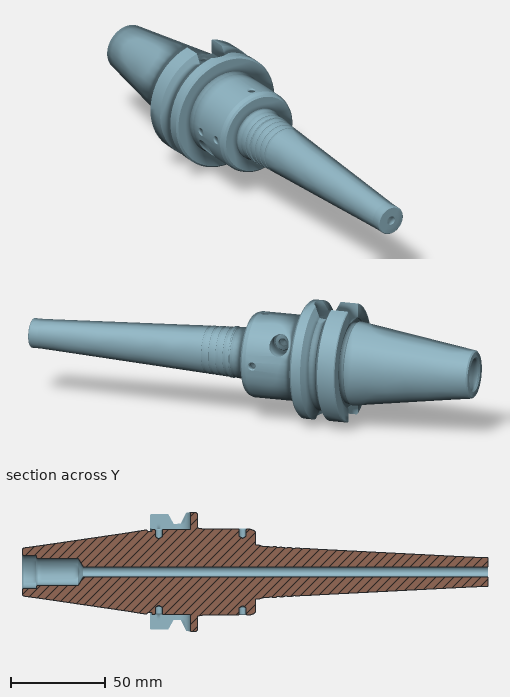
import cadquery as cq
import math

total_length = 245.5
gauge_x = 65.3
gauge_radius = 22.3
taper_ratio = 7 / 24
taper_edge_chamfer = 0.7

undercut_radius = 21.5
undercut_start = 66.0
face_recess_radius = 24.0
face_recess_depth = 0.7
flange_start = 67.5
flange_end = 92.5
flange_radius = 63.0 / 2
front_chamfer = 0.5
rear_chamfer = 1.0
grip_center = 81.7
grip_floor_width = 3.7
grip_floor_radius = 26.5
grip_half_angle = 30.0

slot_width = 16.0
slot_floor = 22.5
slot_end = 88.5
slot_hole_x = 72.0

shoulder_end = 95.2
shoulder_radius = 23.3
body_radius = 22.8
body_end = 123.0
body_bevel_length = 3.2
body_bevel_mid = 1.0
body_bevel_mid_drop = 0.7
body_bevel_drop = 1.7

root_radius = 14.5
root_end = 124.2
neck_start = 126.5
neck_radius = 13.7
tip_radius = 7.9
tip_length = 5.5
tip_start = total_length - tip_length
tip_chamfer = 0.5

ring_first_x = 130.8
ring_last_x = 147.0
ring_count = 5
ring_width = 1.5
ring_depth = 0.2
rib_start = 132.3
rib_end = 133.7
rib_height = 0.2

mouth_radius = 18.5 / 2
pilot_radius = 17.0 / 2
pilot_depth = 7.4
thread_radius = 14.0 / 2
thread_chamfer = 0.7
thread_depth = 29.5
through_radius = 2.5
drill_half_angle = 59.0

thread_mouth_diameter = 4.7
thread_hole_diameter = 3.5
thread_hole_depth = 4.0
body_hole_x = 116.0
side_hole_x = 102.0
side_hole_z = -1.0

screw_hole_diameter = 10.5
screw_hole_floor_y = 12.3
screw_z = 11.8
head_diameter = 9.0
head_top_diameter = 8.0
head_height = 1.0
socket_diameter = 4.7
socket_depth = 2.5


def revolve_profile(points):
    """Revolve an (x, radius) outline around the X axis."""
    return cq.Workplane("XY").polyline(points).close().revolve(360, (0, 0, 0), (1, 0, 0))


def neck_radius_at(x):
    """Radius of the neck cone at a given place along the axis."""
    return neck_radius + (tip_radius - neck_radius) * (x - neck_start) / (tip_start - neck_start)


def blind_hole(origin, direction, diameter, depth):
    """Drilled hole with a conical bottom; depth is the cylindrical length."""
    radius = diameter / 2
    start = cq.Vector(*origin)
    axis = cq.Vector(*direction)
    cylinder = cq.Solid.makeCylinder(radius, depth, start, axis)
    cone_length = radius / math.tan(math.radians(drill_half_angle))
    cone = cq.Solid.makeCone(radius, 0, cone_length, start + axis * depth, axis)
    return cq.Workplane(cylinder).union(cq.Workplane(cone))


def threaded_hole(origin, direction):
    """Small blind hole with a 45 degree countersunk mouth."""
    mouth = thread_mouth_diameter / 2
    bore = thread_hole_diameter / 2
    countersink = cq.Solid.makeCone(mouth, bore, mouth - bore, cq.Vector(*origin), cq.Vector(*direction))
    drilled = blind_hole(origin, direction, thread_hole_diameter, thread_hole_depth)
    return drilled.union(cq.Workplane(countersink))


def screw_recess(side):
    """Hole parallel to Y holding a chamfered screw head with a round socket."""
    inward = (0, -side, 0)
    axis = cq.Vector(*inward)
    mouth = cq.Vector(side_hole_x, side * body_radius, side * screw_z)
    head_top = (side_hole_x, side * (screw_hole_floor_y + head_height), side * screw_z)
    hole_depth = body_radius - screw_hole_floor_y
    hole = cq.Solid.makeCylinder(screw_hole_diameter / 2, hole_depth, mouth, axis)
    head = cq.Solid.makeCone(
        head_top_diameter / 2, head_diameter / 2, head_height, cq.Vector(*head_top), axis
    )
    socket = blind_hole(head_top, inward, socket_diameter, socket_depth)
    return cq.Workplane(hole).cut(cq.Workplane(head)).union(socket)


taper_end_radius = gauge_radius - gauge_x * taper_ratio / 2
grip_run = (flange_radius - grip_floor_radius) * math.tan(math.radians(grip_half_angle))
grip_left = grip_center - grip_floor_width / 2
grip_right = grip_center + grip_floor_width / 2
body = revolve_profile([
    (0, 0),
    (0, taper_end_radius - taper_edge_chamfer),
    (taper_edge_chamfer, taper_end_radius),
    (gauge_x, gauge_radius),
    (undercut_start, undercut_radius),
    (flange_start + face_recess_depth, undercut_radius),
    (flange_start + face_recess_depth, face_recess_radius),
    (flange_start, face_recess_radius),
    (flange_start, flange_radius - front_chamfer),
    (flange_start + front_chamfer, flange_radius),
    (grip_left - grip_run, flange_radius),
    (grip_left, grip_floor_radius),
    (grip_right, grip_floor_radius),
    (grip_right + grip_run, flange_radius),
    (flange_end - rear_chamfer, flange_radius),
    (flange_end, flange_radius - rear_chamfer),
    (flange_end, shoulder_radius),
    (shoulder_end, body_radius),
    (body_end - body_bevel_length, body_radius),
    (body_end - body_bevel_mid, body_radius - body_bevel_mid_drop),
    (body_end, body_radius - body_bevel_drop),
    (body_end, root_radius),
    (root_end, root_radius),
    (neck_start, neck_radius),
    (tip_start, tip_radius),
    (total_length - tip_chamfer, tip_radius),
    (total_length, tip_radius - tip_chamfer),
    (total_length, 0),
])

ring_pitch = (ring_last_x - ring_first_x) / (ring_count - 1)
for i in range(ring_count):
    left = ring_first_x + i * ring_pitch - ring_width / 2
    right = left + ring_width
    body = body.cut(revolve_profile([
        (left, neck_radius_at(left) - ring_depth),
        (left, neck_radius),
        (right, neck_radius),
        (right, neck_radius_at(right) - ring_depth),
    ]))

body = body.union(revolve_profile([
    (rib_start, 0),
    (rib_start, neck_radius_at(rib_start) + rib_height),
    (rib_end, neck_radius_at(rib_end) + rib_height),
    (rib_end, 0),
]))

mouth_chamfer = mouth_radius - pilot_radius
cone_end = thread_depth + (thread_radius - through_radius) / math.tan(math.radians(drill_half_angle))
body = body.cut(revolve_profile([
    (0, 0),
    (0, mouth_radius),
    (mouth_chamfer, pilot_radius),
    (pilot_depth, pilot_radius),
    (pilot_depth, thread_radius + thread_chamfer),
    (pilot_depth + thread_chamfer, thread_radius),
    (thread_depth, thread_radius),
    (cone_end, through_radius),
    (total_length, through_radius),
    (total_length, 0),
]))

slot_center = slot_end - slot_width / 2
slot_height = flange_radius - slot_floor
straight_length = slot_center - flange_start
for side in (1, -1):
    floor = cq.Workplane("XY", origin=(0, 0, side * slot_floor))
    straight = (
        floor.center(flange_start + straight_length / 2, 0)
        .rect(straight_length, slot_width)
        .extrude(side * slot_height)
    )
    rounded = floor.center(slot_center, 0).circle(slot_width / 2).extrude(side * slot_height)
    hole = threaded_hole((slot_hole_x, 0, side * slot_floor), (0, 0, -side))
    body = body.cut(straight).cut(rounded).cut(hole)

for y, z in ((0, 1), (0, -1), (1, 0), (-1, 0)):
    body = body.cut(threaded_hole((body_hole_x, y * body_radius, z * body_radius), (0, -y, -z)))

body = body.cut(threaded_hole((side_hole_x, -body_radius, side_hole_z), (0, 1, 0)))

for side in (1, -1):
    body = body.cut(screw_recess(side))

result = body